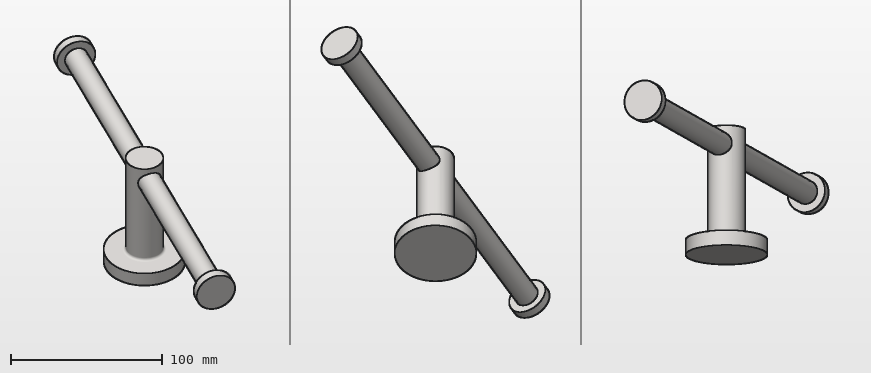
import cadquery as cq

total_length = 280.0
total_height = 86.5
base_diameter = 54.0
base_thickness = 10.0
post_diameter = 25.0
post_top_drop = 1.5
foot_fillet = 2.0
bar_diameter = 16.0
cap_diameter = 27.0
cap_thickness = 6.5

bar_height = total_height - cap_diameter / 2
post_top = total_height - post_top_drop
post_radius = post_diameter / 2


def cylinder_along_x(start, length, diameter):
    """Cylinder on the bar axis, running in +X from start."""
    plane = cq.Workplane("YZ", origin=(start, 0, bar_height))
    return plane.circle(diameter / 2).extrude(length)


def make_stand():
    """Round base and post, with a small concave fillet at the foot of the post."""
    foot_radius = post_radius + foot_fillet
    profile = (
        cq.Workplane("XZ")
        .lineTo(base_diameter / 2, 0)
        .lineTo(base_diameter / 2, base_thickness)
        .lineTo(foot_radius, base_thickness)
        .radiusArc((post_radius, base_thickness + foot_fillet), foot_fillet)
        .lineTo(post_radius, post_top)
        .lineTo(0, post_top)
        .close()
    )
    return profile.revolve(360, (0, 0, 0), (0, 1, 0))


def make_crossbar():
    """Horizontal bar with a round cap at each end."""
    end = total_length / 2
    crossbar = cylinder_along_x(-end, total_length, bar_diameter)
    for cap_start in (-end, end - cap_thickness):
        crossbar = crossbar.union(cylinder_along_x(cap_start, cap_thickness, cap_diameter))
    return crossbar


result = make_stand().union(make_crossbar())